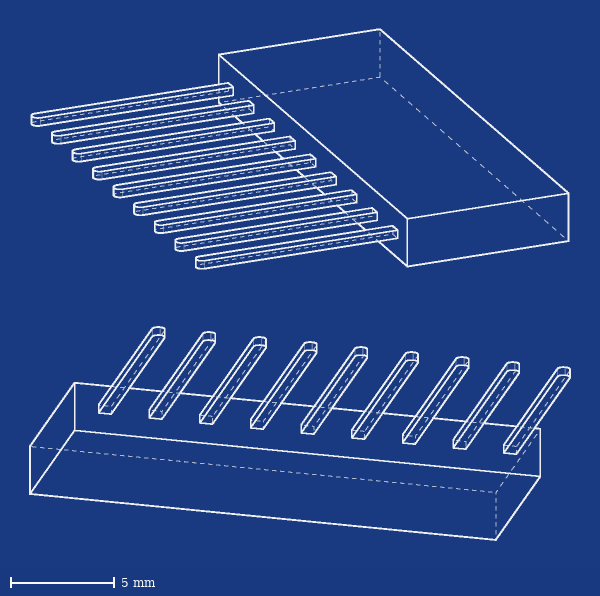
import cadquery as cq

HOUSING_WIDTH = 23.35
HOUSING_HEIGHT = 2.5
HOUSING_DEPTH = 8.5
OVERALL_DEPTH = 19.0

PIN_COUNT = 9
PIN_ROW_SPAN = 20.32
PIN_PITCH = PIN_ROW_SPAN / (PIN_COUNT - 1)
PIN_WIDTH = 0.63
PIN_THICKNESS = 0.42
PIN_LENGTH = OVERALL_DEPTH - HOUSING_DEPTH
TIP_RADIUS = 0.3


def make_housing():
    """Plain block whose front face lies on the plane Y = 0."""
    return cq.Workplane("XY").box(
        HOUSING_WIDTH, HOUSING_DEPTH, HOUSING_HEIGHT, centered=(True, False, True)
    )


def make_pin(x_center):
    """Flat pin reaching from the housing's front face toward -Y, with rounded tip corners."""
    return (
        cq.Workplane("XY")
        .box(PIN_WIDTH, PIN_LENGTH, PIN_THICKNESS)
        .edges("|Z and <Y")
        .fillet(TIP_RADIUS)
        .translate((x_center, -PIN_LENGTH / 2, 0))
    )


housing = make_housing()
pins = [make_pin(i * PIN_PITCH - PIN_ROW_SPAN / 2) for i in range(PIN_COUNT)]

result = cq.Compound.makeCompound([housing.val(), *[pin.val() for pin in pins]])